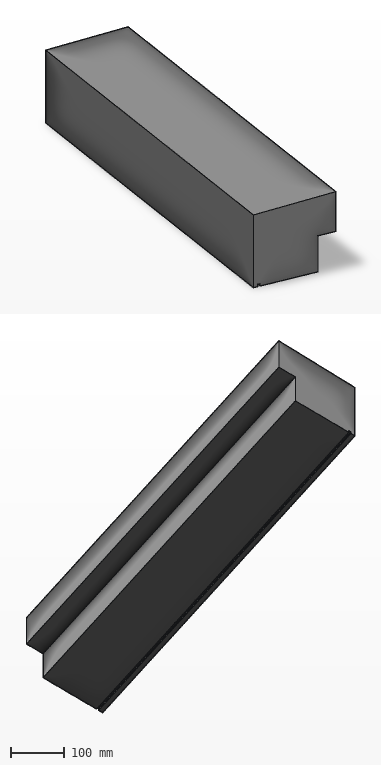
import cadquery as cq

length = 803.0
depth = 177.5
back_height = 159.0

top_fall = 6.5
front_height = back_height - top_fall

rebate_depth = 38.5
rebate_height = 75.5

groove_offset = 10.0
groove_width = 5.0
groove_height = 5.0


def make_body():
    """Extrude the stepped, sloping-topped profile along X."""
    profile = [
        (0, 0),
        (depth - rebate_depth, 0),
        (depth - rebate_depth, rebate_height),
        (depth, rebate_height),
        (depth, back_height),
        (0, front_height),
    ]
    return cq.Workplane("YZ").polyline(profile).close().extrude(length)


def make_drip_groove():
    """Square cutter running the full length of the underside."""
    cutter = cq.Workplane("XY").box(length, groove_width, groove_height, centered=False)
    return cutter.translate((0, groove_offset, 0))


result = make_body().cut(make_drip_groove())